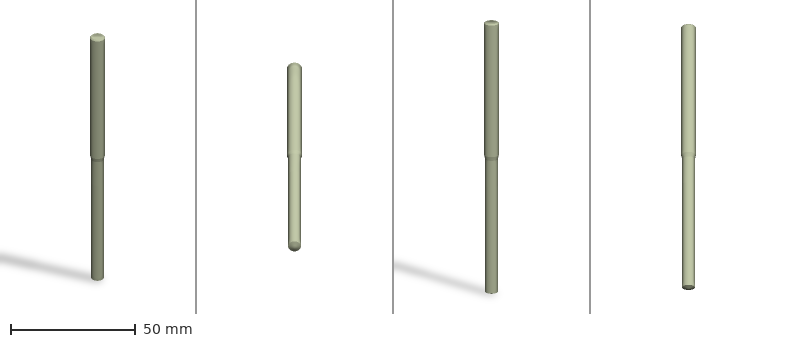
import cadquery as cq
import math

overall_length = 115.0
shank_diameter = 6.0
shank_bottom = 58.9
end_chamfer = 0.5
drill_diameter = 5.2
neck_cone_bottom = 57.2
cutter_top = 45.9
point_angle = 140.0

shank_radius = shank_diameter / 2
drill_radius = drill_diameter / 2
point_height = drill_radius / math.tan(math.radians(point_angle / 2))


def revolve_about_z(profile):
    """Revolve a closed (radius, height) outline about the Z axis."""
    return cq.Workplane("XZ").polyline(profile).close().revolve(360, (0, 0), (0, 1))


def make_shank():
    """Chamfered shank with a short cone leading down to the neck."""
    return revolve_about_z([
        (0, cutter_top),
        (drill_radius, cutter_top),
        (drill_radius, neck_cone_bottom),
        (shank_radius, shank_bottom),
        (shank_radius, overall_length - end_chamfer),
        (shank_radius - end_chamfer, overall_length),
        (0, overall_length),
    ])


def make_cutter():
    """Plain cylindrical cutting length that ends in a conical point."""
    return revolve_about_z([
        (0, 0),
        (drill_radius, point_height),
        (drill_radius, cutter_top),
        (0, cutter_top),
    ])


shank = make_shank()
cutter = make_cutter()

result = cq.Compound.makeCompound([shank.val(), cutter.val()])